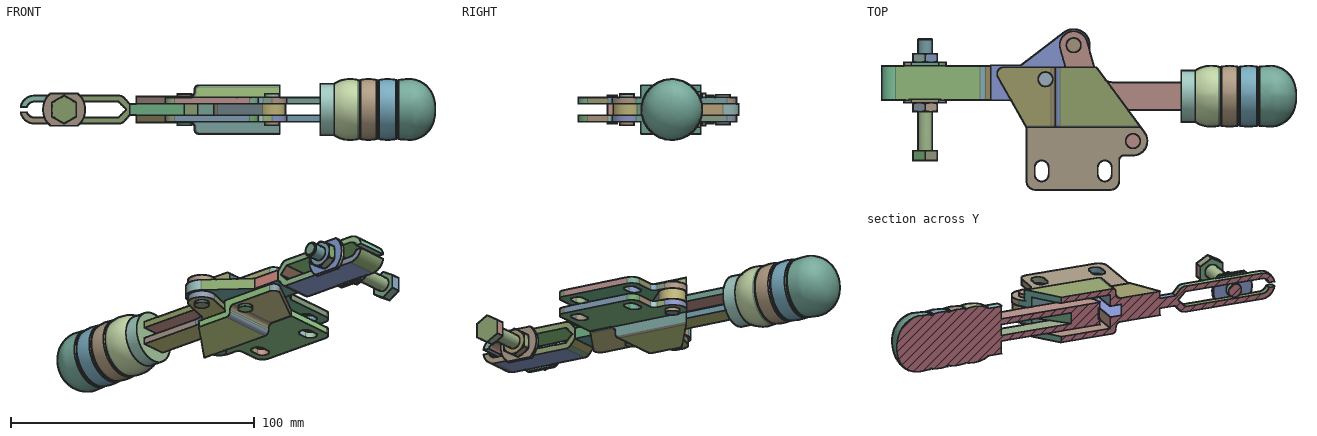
import cadquery as cq
import math


BLADE_THICK = 4.6
BLADE_HALF = BLADE_THICK / 2
SIDE_THICK = 2.7
SIDE_OUTER = BLADE_HALF + SIDE_THICK

PIN_R = 6.0 / 2
TOP_PIVOT = (78.8, 21.0)
FRONT_PIVOT = (67.3, 7.0)
BASE_PIVOT = (103.2, -18.4)
LEVER_PIVOT = (84.8, 0)
PIN_HALF = 6.5
TOP_PIN_HALF = 6.1

ARM_Y0, ARM_Y1 = -1.62, 12.5
ARM_OUT, ARM_IN = 5.8, 3.2
ARM_GAP_HALF = 1.0
ARM_CENTER_X = math.sqrt(ARM_OUT**2 - ARM_GAP_HALF**2)
ARM_TAPER_X = 41.7
ARM_END_X = 44.8
ARM_APEX_X = 43.5
ARM_BEND_R = 3.0

BOLT_X = 17.9
BOLT_R = 6.0 / 2
BOLT_TIP_Y, BOLT_END_Y = 23.7, -26.4
BOLT_CHAMFER = 0.5
HEX_FLATS = 10.0
HEX_CORNERS = HEX_FLATS / math.cos(math.pi / 6)
HEAD_H = 4.1
NUT_H = 3.5
NUT_CHAMFER = 0.7
WASHER_R = 8.7
WASHER_HALF = 6.6
WASHER_T = 1.5
CLAMP_Y0, CLAMP_Y1 = -2.7, 14.0

BLADE_BOTTOM, BLADE_TOP = -1.7, 12.8
BLADE_RISE_X = 57.2
BLADE_TOP_R = 6.6
BLADE_NOTCH_X0, BLADE_NOTCH_X1 = 67.0, 72.7
BLADE_NOTCH_Y = 6.0

LEVER_WIDTH = 11.4
LEVER_R = LEVER_WIDTH / 2
LEVER_FILLET = 8.5
LINK_R = 5.6

BASE_X0, BASE_X1 = 59.5, 97.5
BASE_BOTTOM = -38.5
BASE_CORNER_R = 3.7
BASE_INNER_R = 1.9
BASE_LOBE_R = 6.0
BASE_FAR_X = BASE_PIVOT[0] + 2 * BASE_LOBE_R
SLOT_XS = (65.7, 91.6)
SLOT_Y = -30.6
SLOT_LENGTH, SLOT_WIDTH = 8.5, 5.6

COVER_Y0, COVER_Y1 = -12.8, 12.0
WING_X = 45.5
WING_R = 2.7
WING_THICK = 3.0
WING_TOP = BLADE_HALF + WING_THICK
COVER_TOP = 10.0
COVER_BACK_X = 88.2
STEP_X = 71.3
STEP_R = 1.9
COVER_EDGE_R = 0.6

GRIP_X0, COLLAR_X1, GRIP_X1 = 123.0, 128.7, 170.3
COLLAR_R = 21.3 / 2
GRIP_R = 12.6
GROOVE_XS = (139.0, 146.6, 154.6)
GROOVE_HALF = 0.7
GROOVE_R, GROOVE_EDGE_R = 12.0, 12.3
SHOULDER = (132.3, 12.3)
SHOULDER_TOP = (135.4, GRIP_R)
DOME_X = 159.7
DOME_SHOULDER = (166.9, 9.5)
DOME_SLOPE = (1, -1)
RING_SLOPE = 0.15
INSERT = 3.4


def tangent_point(point, center, radius, side):
    """Where a line from point touches a circle; side is +1 or -1 for left or right of the centre."""
    dx, dy = center[0] - point[0], center[1] - point[1]
    distance = math.hypot(dx, dy)
    length = math.sqrt(distance**2 - radius**2)
    angle = math.atan2(dy, dx) + side * math.asin(radius / distance)
    return (point[0] + length * math.cos(angle), point[1] + length * math.sin(angle))


def on_circle(center, radius, degrees):
    angle = math.radians(degrees)
    return (center[0] + radius * math.cos(angle), center[1] + radius * math.sin(angle))


def capsule(start, end, radius, z0, height):
    """Flat bar with round ends centred on two points."""
    dx, dy = end[0] - start[0], end[1] - start[1]
    bar = cq.Workplane("XY").slot2D(math.hypot(dx, dy) + 2 * radius, 2 * radius).extrude(height)
    bar = bar.rotate((0, 0, 0), (0, 0, 1), math.degrees(math.atan2(dy, dx)))
    return bar.translate(((start[0] + end[0]) / 2, (start[1] + end[1]) / 2, z0))


def block(x0, x1, y0, y1, z0, z1):
    return cq.Workplane("XY").box(x1 - x0, y1 - y0, z1 - z0, centered=False).translate((x0, y0, z0))


def layer(z):
    return cq.Workplane("XY").workplane(offset=z)


def bolt_plane(y):
    """Plane across the bolt axis; extrusion goes towards +Y."""
    return cq.Workplane("XZ", origin=(BOLT_X, y, 0)).transformed(rotate=(180, 0, 0))


def with_mirror(half):
    return half.union(half.mirror("XY"))


def make_arm():
    """Sheet folded into a long loop, open at the curled tip and pinched against the blade."""
    tip_center = (ARM_CENTER_X, 0)
    tip_inner_x = ARM_CENTER_X - math.sqrt(ARM_IN**2 - ARM_GAP_HALF**2)
    half = (
        cq.Workplane("XZ", origin=(0, ARM_Y1, 0))
        .moveTo(0, ARM_GAP_HALF)
        .threePointArc(on_circle(tip_center, ARM_OUT, 135), (ARM_CENTER_X, ARM_OUT))
        .lineTo(ARM_TAPER_X, ARM_OUT)
        .lineTo(ARM_END_X, BLADE_HALF)
        .lineTo(ARM_END_X, 0)
        .lineTo(ARM_APEX_X, 0)
        .lineTo(ARM_APEX_X - ARM_IN, ARM_IN)
        .lineTo(ARM_CENTER_X, ARM_IN)
        .threePointArc(on_circle(tip_center, ARM_IN, 135), (tip_inner_x, ARM_GAP_HALF))
        .close()
        .extrude(ARM_Y1 - ARM_Y0)
    )
    bend = cq.selectors.NearestToPointSelector((ARM_TAPER_X, (ARM_Y0 + ARM_Y1) / 2, ARM_OUT))
    return with_mirror(half.edges("|Y").edges(bend).fillet(ARM_BEND_R))


def make_bolt():
    def hexagon(y, height):
        prism = bolt_plane(y).polygon(6, HEX_CORNERS).extrude(height)
        return prism.rotate((BOLT_X, 0, 0), (BOLT_X, 1, 0), 30)

    def nut(y):
        blank = bolt_plane(y).circle(HEX_CORNERS / 2).extrude(NUT_H)
        blank = blank.faces("<Y or >Y").chamfer(NUT_CHAMFER / 2, NUT_CHAMFER)
        return hexagon(y, NUT_H).intersect(blank)

    def washer(y):
        disc = bolt_plane(y).circle(WASHER_R).extrude(WASHER_T)
        return disc.intersect(bolt_plane(y).rect(2 * WASHER_R, 2 * WASHER_HALF).extrude(WASHER_T))

    shank = bolt_plane(BOLT_END_Y).circle(BOLT_R).extrude(BOLT_TIP_Y - BOLT_END_Y)
    shank = shank.faces(">Y").chamfer(BOLT_CHAMFER)
    bolt = shank.union(hexagon(BOLT_END_Y, HEAD_H))
    bolt = bolt.union(washer(CLAMP_Y0)).union(nut(CLAMP_Y0 - NUT_H))
    return bolt.union(washer(CLAMP_Y1 - WASHER_T)).union(nut(CLAMP_Y1))


def make_blade():
    rise = (BLADE_RISE_X, BLADE_TOP)
    back = on_circle(TOP_PIVOT, BLADE_TOP_R, 0)
    return (
        layer(-BLADE_HALF)
        .moveTo(ARM_END_X, BLADE_BOTTOM)
        .lineTo(ARM_END_X, BLADE_TOP)
        .lineTo(*rise)
        .lineTo(*tangent_point(rise, TOP_PIVOT, BLADE_TOP_R, 1))
        .threePointArc(on_circle(TOP_PIVOT, BLADE_TOP_R, 60), back)
        .lineTo(back[0], BLADE_NOTCH_Y)
        .lineTo(BLADE_NOTCH_X1, BLADE_NOTCH_Y)
        .lineTo(BLADE_NOTCH_X0, BLADE_BOTTOM)
        .close()
        .extrude(BLADE_THICK)
    )


def make_lever():
    """Two bent plates, each a leg up to the blade and a bar back into the grip."""
    leg = capsule(TOP_PIVOT, LEVER_PIVOT, LEVER_R, BLADE_HALF, SIDE_THICK)
    bar = block(LEVER_PIVOT[0], GRIP_X0 + INSERT, -LEVER_R, LEVER_R, BLADE_HALF, SIDE_OUTER)
    plate = leg.union(bar)
    elbow_point = (LEVER_PIVOT[0] + LEVER_R, LEVER_R, SIDE_OUTER - SIDE_THICK / 2)
    elbow = cq.selectors.NearestToPointSelector(elbow_point)
    return with_mirror(plate.edges("|Z").edges(elbow).fillet(LEVER_FILLET))


def make_link():
    return capsule(LEVER_PIVOT, BASE_PIVOT, LINK_R, -BLADE_HALF, BLADE_THICK)


def make_base():
    def outline(height):
        back = (COVER_BACK_X, COVER_Y1)
        lobe_bottom = on_circle(BASE_PIVOT, BASE_LOBE_R, -90)
        plate = (
            layer(BLADE_HALF)
            .moveTo(BASE_X0, BASE_BOTTOM)
            .lineTo(BASE_X0, COVER_Y0)
            .lineTo(WING_X, COVER_Y1)
            .lineTo(*back)
            .lineTo(*tangent_point(back, BASE_PIVOT, BASE_LOBE_R, 1))
            .threePointArc(on_circle(BASE_PIVOT, BASE_LOBE_R, -30), lobe_bottom)
            .lineTo(BASE_X1, lobe_bottom[1])
            .lineTo(BASE_X1, BASE_BOTTOM)
            .close()
            .extrude(height)
        )
        rounded = (
            (BASE_X0, BASE_BOTTOM, BASE_CORNER_R),
            (BASE_X1, BASE_BOTTOM, BASE_CORNER_R),
            (BASE_X1, lobe_bottom[1], BASE_INNER_R),
            (WING_X, COVER_Y1, WING_R),
        )
        for x, y, radius in rounded:
            corner = cq.selectors.NearestToPointSelector((x, y, BLADE_HALF + height / 2))
            plate = plate.edges("|Z").edges(corner).fillet(radius)
        return plate

    def cover():
        """Raised sheet with a rounded step at the front and a closed wall along its lower edge."""
        turn = STEP_R * math.sqrt(0.5)
        raised = (
            cq.Workplane("XZ", origin=(0, COVER_Y1, 0))
            .moveTo(WING_X, BLADE_HALF)
            .lineTo(WING_X, WING_TOP)
            .lineTo(STEP_X - STEP_R, WING_TOP)
            .threePointArc(
                (STEP_X - STEP_R + turn, WING_TOP + STEP_R - turn),
                (STEP_X, WING_TOP + STEP_R),
            )
            .lineTo(STEP_X, COVER_TOP - STEP_R)
            .threePointArc(
                (STEP_X + STEP_R - turn, COVER_TOP - STEP_R + turn),
                (STEP_X + STEP_R, COVER_TOP),
            )
            .lineTo(BASE_FAR_X, COVER_TOP)
            .lineTo(BASE_FAR_X, BLADE_HALF)
            .close()
            .extrude(COVER_Y1 - COVER_Y0)
        )
        raised = raised.faces(">Z").edges("<Y").fillet(COVER_EDGE_R)
        room_x0, room_y0 = STEP_X + SIDE_THICK, COVER_Y0 + SIDE_THICK
        room = block(room_x0, BASE_FAR_X, room_y0, COVER_Y1, BLADE_HALF, COVER_TOP - SIDE_THICK)
        return raised.cut(room).intersect(outline(COVER_TOP - BLADE_HALF))

    below_cover = block(BASE_X0, BASE_FAR_X, BASE_BOTTOM, COVER_Y0, BLADE_HALF, SIDE_OUTER)
    flat = outline(SIDE_THICK).intersect(below_cover)
    slots = (
        layer(BLADE_HALF)
        .pushPoints([(x, SLOT_Y) for x in SLOT_XS])
        .slot2D(SLOT_LENGTH, SLOT_WIDTH, 90)
        .extrude(SIDE_THICK)
    )
    return with_mirror(flat.cut(slots).union(cover()))


def make_pins():
    pins = cq.Workplane("XY")
    half_lengths = (
        (TOP_PIVOT, TOP_PIN_HALF),
        (FRONT_PIVOT, PIN_HALF),
        (BASE_PIVOT, PIN_HALF),
        (LEVER_PIVOT, SIDE_OUTER),
    )
    for pivot, half_length in half_lengths:
        pins = pins.union(layer(-half_length).moveTo(*pivot).circle(PIN_R).extrude(2 * half_length))
    return pins


def make_grip():
    """Collar, three shallow grooves between barrelled rings, and a dome."""
    profile = (
        cq.Workplane("XZ")
        .moveTo(GRIP_X0, 0)
        .lineTo(GRIP_X0, COLLAR_R)
        .lineTo(COLLAR_X1, COLLAR_R)
    )
    ring_start = COLLAR_X1
    for x in GROOVE_XS:
        ring_end = (x - GROOVE_HALF, GROOVE_EDGE_R)
        if ring_start == COLLAR_X1:
            profile = profile.spline([SHOULDER, SHOULDER_TOP, ring_end], includeCurrent=True)
        else:
            profile = profile.threePointArc(((ring_start + ring_end[0]) / 2, GRIP_R), ring_end)
        profile = profile.lineTo(x, GROOVE_R).lineTo(x + GROOVE_HALF, GROOVE_EDGE_R)
        ring_start = x + GROOVE_HALF
    profile = profile.spline(
        [(DOME_X, GRIP_R), DOME_SHOULDER, (GRIP_X1, 0)],
        tangents=[(1, RING_SLOPE), (1, 0), DOME_SLOPE, (0, -1)],
        includeCurrent=True,
    ).close()
    return profile.revolve(360, (0, 0, 0), (1, 0, 0))


result = make_arm()
for component in (
    make_bolt(),
    make_blade(),
    make_lever(),
    make_link(),
    make_base(),
    make_pins(),
    make_grip(),
):
    result = result.union(component)